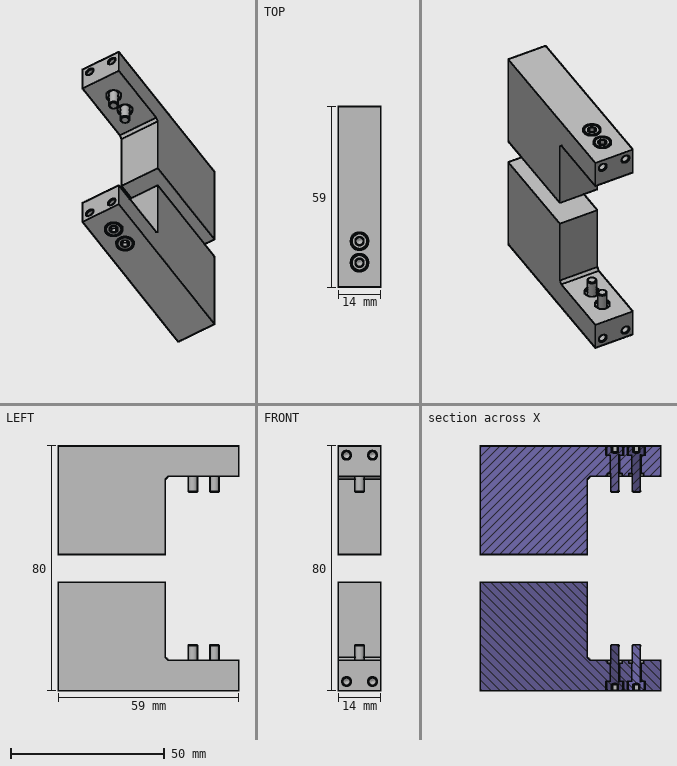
import cadquery as cq
import math

width = 14.0
depth = 59.0
height = 80.0

arm_length = 24.0
arm_thickness = 10.0
jaw_height = 35.5
corner_chamfer = 1.0

end_hole_spacing = 8.5
end_hole_inset = 3.0
end_hole_diameter = 2.5
end_hole_mouth_diameter = 3.0
end_hole_depth = 6.4

screw_setbacks = (8.0, 15.0)
head_diameter = 5.5
head_height = 3.0
head_chamfer = 0.3
shank_diameter = 3.0
shank_tip_diameter = 2.5
shank_tip_length = 0.3
shank_protrusion = 5.1

socket_across_flats = 2.5
socket_depth = 2.0
socket_corner_diameter = socket_across_flats / math.cos(math.pi / 6)

head_bore_diameter = 5.9
clearance_diameter = 3.2
relief_diameter = 5.0
relief_depth = 1.0

drill_point_angle = 118.0

front_y = -depth / 2
rear_y = depth / 2
body_front_y = front_y + arm_length
top_z = height / 2
jaw_bottom_z = top_z - jaw_height
arm_bottom_z = top_z - arm_thickness
head_seat_z = top_z - head_height
shank_tip_z = arm_bottom_z - shank_protrusion


def drilled_cutter(mouth_diameter, diameter, straight_depth):
    """Cutter going down -Z from the origin: 45-degree mouth chamfer, straight bore, conical floor."""
    mouth_radius = mouth_diameter / 2
    radius = diameter / 2
    point_length = radius / math.tan(math.radians(drill_point_angle / 2))
    return (
        cq.Workplane("XZ")
        .lineTo(mouth_radius, 0)
        .lineTo(radius, radius - mouth_radius)
        .lineTo(radius, -straight_depth)
        .lineTo(0, -straight_depth - point_length)
        .close()
        .revolve(360, (0, 0, 0), (0, 1, 0))
    )


def vertical_cylinder(diameter, bottom_z, upper_z):
    """Cylinder on the Z axis between two heights."""
    return cq.Workplane("XY").workplane(offset=bottom_z).circle(diameter / 2).extrude(upper_z - bottom_z)


def make_jaw_blank():
    """L-shaped plate with a chamfered inner corner."""
    return (
        cq.Workplane("YZ")
        .moveTo(front_y, top_z)
        .lineTo(rear_y, top_z)
        .lineTo(rear_y, jaw_bottom_z)
        .lineTo(body_front_y, jaw_bottom_z)
        .lineTo(body_front_y, arm_bottom_z - corner_chamfer)
        .lineTo(body_front_y - corner_chamfer, arm_bottom_z)
        .lineTo(front_y, arm_bottom_z)
        .close()
        .extrude(width / 2, both=True)
    )


def cut_end_holes(jaw):
    """Two blind holes running rearward from the front end of the arm."""
    cutter = drilled_cutter(end_hole_mouth_diameter, end_hole_diameter, end_hole_depth)
    cutter = cutter.rotate((0, 0, 0), (1, 0, 0), 90)
    for x in (-end_hole_spacing / 2, end_hole_spacing / 2):
        jaw = jaw.cut(cutter.translate((x, front_y, top_z - end_hole_inset)))
    return jaw


def cut_screw_holes(jaw):
    """Stepped through holes: head bore on top, clearance bore, wider relief on the inner face."""
    cutter = (
        vertical_cylinder(clearance_diameter, arm_bottom_z, top_z)
        .union(vertical_cylinder(head_bore_diameter, head_seat_z, top_z))
        .union(vertical_cylinder(relief_diameter, arm_bottom_z, arm_bottom_z + relief_depth))
    )
    for setback in screw_setbacks:
        jaw = jaw.cut(cutter.translate((0, front_y + setback, 0)))
    return jaw


def make_jaw():
    """Upper jaw with all its holes."""
    return cut_screw_holes(cut_end_holes(make_jaw_blank()))


def make_socket_cutter():
    """Hexagonal recess with a mouth chamfered out to its corners and a conical floor."""
    hexagon = (
        cq.Workplane("XY")
        .polygon(6, socket_corner_diameter)
        .extrude(-socket_depth)
        .rotate((0, 0, 0), (0, 0, 1), 30)
    )
    return hexagon.union(drilled_cutter(socket_corner_diameter, socket_across_flats, socket_depth))


def make_screw(setback):
    """Cap screw of the upper jaw, head flush with the top, shank pointing down."""
    tip_inset = (shank_diameter - shank_tip_diameter) / 2
    shank = vertical_cylinder(shank_diameter, shank_tip_z, head_seat_z)
    shank = shank.faces("<Z").chamfer(shank_tip_length, tip_inset)
    head = vertical_cylinder(head_diameter, head_seat_z, top_z)
    head = head.faces(">Z").chamfer(head_chamfer)
    screw = shank.union(head).cut(make_socket_cutter().translate((0, 0, top_z)))
    return screw.translate((0, front_y + setback, 0))


upper_jaw = make_jaw()
lower_jaw = upper_jaw.mirror("XY")

screws = []
for setback in screw_setbacks:
    upper_screw = make_screw(setback)
    screws.append(upper_screw.val())
    screws.append(upper_screw.mirror("XY").val())

result = cq.Compound.makeCompound([upper_jaw.val(), lower_jaw.val(), *screws])